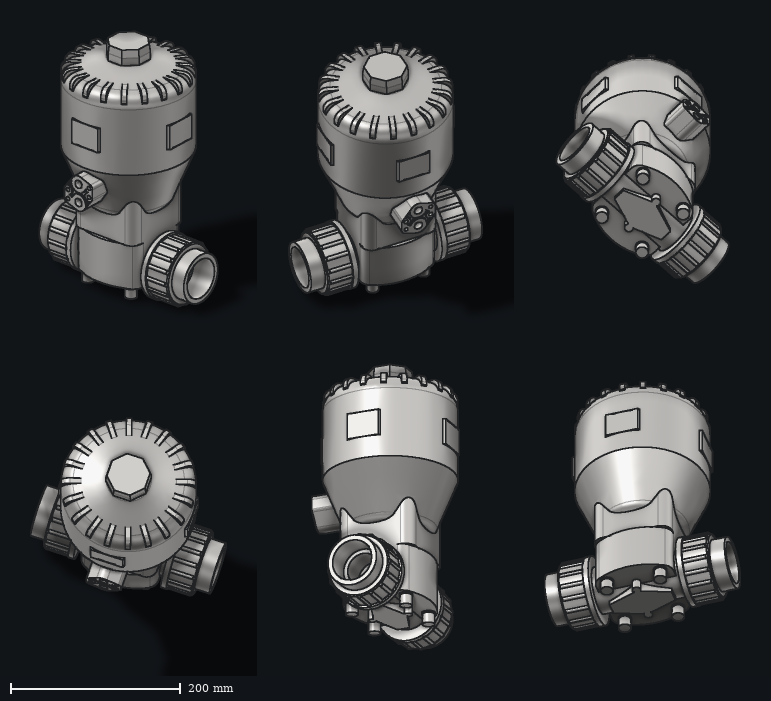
import cadquery as cq
import math


PIPE_LENGTH = 222.0
PIPE_HALF_LENGTH = PIPE_LENGTH / 2
PIPE_RADIUS = 31.3
BORE_DIAMETER = 50.2
BORE_RADIUS = BORE_DIAMETER / 2
BORE_DEPTH = 32.0
SEAT_RADIUS = 19.8
SEAT_DEPTH = 64.0
NECK_RADIUS = 28.5
NUT_OUTER_X = 92.5
NUT_COLLAR_OUTER_X = 61.0
NUT_COLLAR_INNER_X = 54.0
NUT_RADIUS = 39.0
NUT_CHAMFER = 1.5
COLLAR_RADIUS = 42.0
GRIP_RADIUS = 41.0
GRIP_BAR_RADIUS = 2.4
GRIP_END_GAP = 0.5
GRIP_CHAMFER = 2.5
GRIP_COUNT = 16

BODY_WIDTH = 95.5
BODY_HALF_WIDTH = BODY_WIDTH / 2
BODY_CORNER_RADIUS = 13.7
BODY_BOTTOM_Z = -20.5
BODY_TOP_Z = 38.0
BODY_HALF_DEPTH = 52.7
BODY_FLAT_HALF_DEPTH = 30.0
YOKE_TOP_Z = 108.5

SCREW_X = 33.0
SCREW_Y = 34.8
SCREW_RADIUS = 7.5
SCREW_BOTTOM_Z = -35.0
SCREW_COLLAR_RADIUS = 8.0
SCREW_COLLAR_HEIGHT = 2.0
FOOT_BOTTOM_Z = -33.0
FOOT_HALF_LENGTH = 38.3
FOOT_CENTRE_HALF_WIDTH = 21.5
FOOT_END_HALF_WIDTH = 7.7
FOOT_POST_RADIUS = 5.0
FOOT_POST_REACH = 28.0

HOUSING_RADIUS = 80.0
HOUSING_TOP_Z = 227.2
HOUSING_CONE_Z = 140.5
HOUSING_BASE_RADIUS = 55.0
HOUSING_BASE_Z = 79.5
HOUSING_SHOULDER_RADIUS = 52.0
HOUSING_SHOULDER_Z = 73.8
HOUSING_BOTTOM_RADIUS = 44.7
HOUSING_BOTTOM_Z = 69.0
LID_FILLET = 19.8
LID_APEX_RADIUS = 26.8
LID_SLOPE = 16.4

RIB_COUNT = 20
RIB_WIDTH = 6.5
RIB_INNER_RADIUS = 54.5
RIB_OUTER_RADIUS = 79.5
RIB_TOP_Z = 249.0
RIB_ROUND = 10.2
RIB_TOE_TOP_Z = 234.8
RIB_BOTTOM_Z = 233.0
RIB_TOE_RADIUS = 78.5

CAP_HALF_FLATS = 25.0
CAP_TOP_HALF_FLATS = 23.5
CAP_TAPER_Z = 267.7
CAP_TOP_Z = 277.5

PAD_FACE = 80.2
PAD_ROOT = 73.5
PAD_HALF_WIDTH = 19.8
PAD_ROOT_HALF_WIDTH = 23.0
PAD_BOTTOM_Z = 167.5
PAD_TOP_Z = 199.0

BLOCK_FACE_Y = -91.7
BLOCK_ROOT_Y = -48.0
BLOCK_Z = 111.8
PORT_SPACING = 24.0
PORT_OFFSET = PORT_SPACING / 2
PORT_BOSS_DIAMETER = 22.0
PORT_BOSS_RADIUS = PORT_BOSS_DIAMETER / 2
PORT_RADIUS = 5.0
PORT_DEPTH = 9.5
PIN_X = 16.0
PIN_RADIUS = 2.4
PIN_DEPTH = 9.5
PIN_BOSS_DIAMETER = 11.2
PIN_BOSS_RADIUS = PIN_BOSS_DIAMETER / 2
INSERT_RADIUS = 2.5
INSERT_BOSS_RADIUS = 6.0
RELIEF_DEPTH = 2.5
RELIEF_HALF_WIDTH = 12.8
RELIEF_HALF_LENGTH = 16.5


def cylinder_z(x, y, radius, bottom, top):
    return cq.Workplane("XY", origin=(x, y, bottom)).circle(radius).extrude(top - bottom)


def cylinder_x(radius, start, end):
    return cq.Workplane("YZ", origin=(start, 0, 0)).circle(radius).extrude(end - start)


def point_on(centre, radius, angle):
    return (centre[0] + radius * math.cos(angle), centre[1] + radius * math.sin(angle))


def tangent_angle(first, second):
    """Normal angle of the outer tangent between two (centre, radius) circles, counterclockwise."""
    (x1, y1), r1 = first
    (x2, y2), r2 = second
    heading = math.atan2(y2 - y1, x2 - x1)
    return heading - math.acos((r1 - r2) / math.hypot(x2 - x1, y2 - y1))


def belt(plane, circles):
    """Closed outline wrapped counterclockwise around the (centre, radius) circles."""
    count = len(circles)
    normals = [tangent_angle(circles[i], circles[(i + 1) % count]) for i in range(count)]
    outline = plane.moveTo(*point_on(*circles[0], normals[-1]))
    for i, (centre, radius) in enumerate(circles):
        arrive = normals[i - 1]
        turn = (normals[i] - arrive) % (2 * math.pi)
        if i > 0:
            outline = outline.lineTo(*point_on(centre, radius, arrive))
        middle = point_on(centre, radius, arrive + turn / 2)
        outline = outline.threePointArc(middle, point_on(centre, radius, arrive + turn))
    return outline.close()


def make_housing():
    slope = math.radians(LID_SLOPE)
    centre = (HOUSING_RADIUS - LID_FILLET, HOUSING_TOP_Z)
    fillet_end = math.pi / 2 - slope
    rim_radius, rim_z = point_on(centre, LID_FILLET, fillet_end)
    apex_z = rim_z + (rim_radius - LID_APEX_RADIUS) * math.tan(slope)
    return (
        cq.Workplane("XZ")
        .moveTo(0, HOUSING_BOTTOM_Z)
        .lineTo(HOUSING_BOTTOM_RADIUS, HOUSING_BOTTOM_Z)
        .threePointArc((HOUSING_SHOULDER_RADIUS, HOUSING_SHOULDER_Z), (HOUSING_BASE_RADIUS, HOUSING_BASE_Z))
        .lineTo(HOUSING_RADIUS, HOUSING_CONE_Z)
        .lineTo(HOUSING_RADIUS, HOUSING_TOP_Z)
        .threePointArc(point_on(centre, LID_FILLET, fillet_end / 2), (rim_radius, rim_z))
        .lineTo(LID_APEX_RADIUS, apex_z)
        .lineTo(0, apex_z)
        .close()
        .revolve(360, (0, 0, 0), (0, 1, 0))
    )


def make_lid_rib():
    return (
        cq.Workplane("XZ")
        .moveTo(RIB_INNER_RADIUS, RIB_BOTTOM_Z)
        .lineTo(RIB_TOE_RADIUS, RIB_BOTTOM_Z)
        .lineTo(RIB_OUTER_RADIUS, RIB_TOE_TOP_Z)
        .lineTo(RIB_OUTER_RADIUS, RIB_TOP_Z - RIB_ROUND)
        .radiusArc((RIB_OUTER_RADIUS - RIB_ROUND, RIB_TOP_Z), -RIB_ROUND)
        .lineTo(RIB_INNER_RADIUS, RIB_TOP_Z)
        .close()
        .extrude(RIB_WIDTH / 2, both=True)
    )


def octagon(z, half_flats):
    radius = half_flats / math.cos(math.pi / 8)
    corners = [point_on((0, 0), radius, (i + 0.5) * math.pi / 4) for i in range(8)]
    return cq.Workplane("XY", origin=(0, 0, z)).polyline(corners).close()


def make_cap():
    lower = octagon(HOUSING_TOP_Z, CAP_HALF_FLATS).extrude(CAP_TAPER_Z - HOUSING_TOP_Z)
    height = CAP_TOP_Z - CAP_TAPER_Z
    taper = math.degrees(math.atan2(CAP_HALF_FLATS - CAP_TOP_HALF_FLATS, height))
    return lower.union(octagon(CAP_TAPER_Z, CAP_HALF_FLATS).extrude(height, taper=taper))


def make_pad():
    return (
        cq.Workplane("XY", origin=(0, 0, PAD_BOTTOM_Z))
        .polyline([
            (PAD_ROOT, -PAD_ROOT_HALF_WIDTH),
            (PAD_FACE, -PAD_HALF_WIDTH),
            (PAD_FACE, PAD_HALF_WIDTH),
            (PAD_ROOT, PAD_ROOT_HALF_WIDTH),
        ])
        .close()
        .extrude(PAD_TOP_Z - PAD_BOTTOM_Z)
    )


def make_body():
    corner = BODY_HALF_WIDTH - BODY_CORNER_RADIUS
    yoke = (
        cq.Workplane("XY", origin=(0, 0, BODY_TOP_Z))
        .rect(2 * BODY_HALF_WIDTH, 2 * BODY_HALF_WIDTH)
        .extrude(YOKE_TOP_Z - BODY_TOP_Z)
        .edges("|Z")
        .fillet(BODY_CORNER_RADIUS)
    )

    bulge = BODY_HALF_DEPTH - BODY_FLAT_HALF_DEPTH
    bow_radius = (corner**2 + bulge**2 - BODY_CORNER_RADIUS**2) / (2 * (bulge - BODY_CORNER_RADIUS))
    bow_y = BODY_HALF_DEPTH - bow_radius
    bow_angle = math.atan2(BODY_FLAT_HALF_DEPTH - bow_y, corner)
    centre = (corner, BODY_FLAT_HALF_DEPTH)
    join_x, join_y = point_on(centre, BODY_CORNER_RADIUS, bow_angle)
    mid_x, mid_y = point_on(centre, BODY_CORNER_RADIUS, bow_angle / 2)
    block = (
        cq.Workplane("XY", origin=(0, 0, BODY_BOTTOM_Z))
        .moveTo(BODY_HALF_WIDTH, -BODY_FLAT_HALF_DEPTH)
        .lineTo(BODY_HALF_WIDTH, BODY_FLAT_HALF_DEPTH)
        .threePointArc((mid_x, mid_y), (join_x, join_y))
        .threePointArc((0, BODY_HALF_DEPTH), (-join_x, join_y))
        .threePointArc((-mid_x, mid_y), (-BODY_HALF_WIDTH, BODY_FLAT_HALF_DEPTH))
        .lineTo(-BODY_HALF_WIDTH, -BODY_FLAT_HALF_DEPTH)
        .threePointArc((-mid_x, -mid_y), (-join_x, -join_y))
        .threePointArc((0, -BODY_HALF_DEPTH), (join_x, -join_y))
        .threePointArc((mid_x, -mid_y), (BODY_HALF_WIDTH, -BODY_FLAT_HALF_DEPTH))
        .close()
        .extrude(BODY_TOP_Z - BODY_BOTTOM_Z)
    )
    return block.union(yoke)


def make_foot():
    foot = (
        cq.Workplane("XY", origin=(0, 0, FOOT_BOTTOM_Z))
        .polyline([
            (FOOT_HALF_LENGTH, -FOOT_END_HALF_WIDTH),
            (FOOT_HALF_LENGTH, FOOT_END_HALF_WIDTH),
            (0, FOOT_CENTRE_HALF_WIDTH),
            (-FOOT_HALF_LENGTH, FOOT_END_HALF_WIDTH),
            (-FOOT_HALF_LENGTH, -FOOT_END_HALF_WIDTH),
            (0, -FOOT_CENTRE_HALF_WIDTH),
        ])
        .close()
        .extrude(-FOOT_BOTTOM_Z)
    )
    post_y = FOOT_POST_REACH - FOOT_POST_RADIUS
    for y in (-post_y, post_y):
        foot = foot.union(cylinder_z(0, y, FOOT_POST_RADIUS, FOOT_BOTTOM_Z, 0))
    return foot


def make_screw(x, y):
    collar_bottom = BODY_BOTTOM_Z - SCREW_COLLAR_HEIGHT
    shank = cylinder_z(x, y, SCREW_RADIUS, SCREW_BOTTOM_Z, 0)
    return shank.union(cylinder_z(x, y, SCREW_COLLAR_RADIUS, collar_bottom, 0))


def make_nut():
    """Union nut on the +X side with lengthwise half-round grips, bevelled at their outer ends."""
    nut = cylinder_x(NUT_RADIUS, NUT_COLLAR_INNER_X, NUT_OUTER_X).faces(">X").chamfer(NUT_CHAMFER)
    nut = nut.union(cylinder_x(COLLAR_RADIUS, NUT_COLLAR_INNER_X, NUT_COLLAR_OUTER_X))
    grip_end = NUT_OUTER_X - GRIP_END_GAP
    bar_centre = GRIP_RADIUS - GRIP_BAR_RADIUS
    bar_root = bar_centre - GRIP_BAR_RADIUS
    side_shape = (
        cq.Workplane("XZ")
        .polyline([
            (NUT_COLLAR_INNER_X, bar_root),
            (grip_end, bar_root),
            (grip_end, bar_centre),
            (grip_end - GRIP_CHAMFER, GRIP_RADIUS),
            (NUT_COLLAR_INNER_X, GRIP_RADIUS),
        ])
        .close()
        .extrude(GRIP_BAR_RADIUS, both=True)
    )
    bar = cylinder_x(GRIP_BAR_RADIUS, NUT_COLLAR_INNER_X, grip_end).translate((0, 0, bar_centre))
    grip = bar.intersect(side_shape)
    for i in range(GRIP_COUNT):
        nut = nut.union(grip.rotate((0, 0, 0), (1, 0, 0), i * 360 / GRIP_COUNT))
    return nut


def make_port_block():
    """Air port block; its local plane has X along the part and Y along the part's Z."""
    face = cq.Workplane("XZ", origin=(0, BLOCK_FACE_Y, BLOCK_Z))
    outline = [
        ((0, PORT_OFFSET), PORT_BOSS_RADIUS),
        ((-PIN_X, 0), PIN_BOSS_RADIUS),
        ((-PIN_X, -PORT_OFFSET), PIN_BOSS_RADIUS),
        ((0, -PORT_OFFSET), PORT_BOSS_RADIUS),
        ((PIN_X, 0), PIN_BOSS_RADIUS),
        ((PIN_X, PORT_OFFSET), PIN_BOSS_RADIUS),
    ]
    block = belt(face, outline).extrude(BLOCK_FACE_Y - BLOCK_ROOT_Y)

    ports = [(0, PORT_OFFSET), (0, -PORT_OFFSET)]
    inserts = [(PIN_X, 0), (-PIN_X, 0)]
    pins = [(PIN_X, PORT_OFFSET), (-PIN_X, -PORT_OFFSET)]

    strip_angle = -math.degrees(math.atan2(PORT_OFFSET, PIN_X))
    relief = (
        face.transformed(rotate=(0, 0, strip_angle))
        .rect(2 * RELIEF_HALF_LENGTH, 2 * RELIEF_HALF_WIDTH)
        .extrude(-RELIEF_DEPTH)
    )
    relief = relief.cut(face.pushPoints(ports).circle(PORT_BOSS_RADIUS).extrude(-RELIEF_DEPTH))
    relief = relief.cut(face.pushPoints(inserts).circle(INSERT_BOSS_RADIUS).extrude(-RELIEF_DEPTH))
    block = block.cut(relief)

    block = block.cut(face.pushPoints(ports).circle(PORT_RADIUS).extrude(-PORT_DEPTH))
    block = block.cut(face.pushPoints(inserts).circle(INSERT_RADIUS).extrude(-PIN_DEPTH))
    return block.cut(face.pushPoints(pins).circle(PIN_RADIUS).extrude(-PIN_DEPTH))


result = make_housing().union(make_cap())
lid_rib = make_lid_rib()
for i in range(RIB_COUNT):
    result = result.union(lid_rib.rotate((0, 0, 0), (0, 0, 1), i * 360 / RIB_COUNT))
for angle in (0, 90, 180, 270):
    result = result.union(make_pad().rotate((0, 0, 0), (0, 0, 1), angle))

result = result.union(make_body()).union(make_foot())
for x in (-SCREW_X, SCREW_X):
    for y in (-SCREW_Y, SCREW_Y):
        result = result.union(make_screw(x, y))

result = result.union(cylinder_x(NECK_RADIUS, -NUT_COLLAR_OUTER_X, NUT_COLLAR_OUTER_X))
nut = make_nut()
pipe = cylinder_x(PIPE_RADIUS, NUT_COLLAR_INNER_X, PIPE_HALF_LENGTH)
bore = cylinder_x(BORE_RADIUS, PIPE_HALF_LENGTH - BORE_DEPTH, PIPE_HALF_LENGTH)
seat = cylinder_x(SEAT_RADIUS, PIPE_HALF_LENGTH - SEAT_DEPTH, PIPE_HALF_LENGTH)
pipe_end = nut.union(pipe)
bores = bore.union(seat)
for side in (0, 180):
    result = result.union(pipe_end.rotate((0, 0, 0), (0, 0, 1), side))
    result = result.cut(bores.rotate((0, 0, 0), (0, 0, 1), side))

result = result.union(make_port_block())